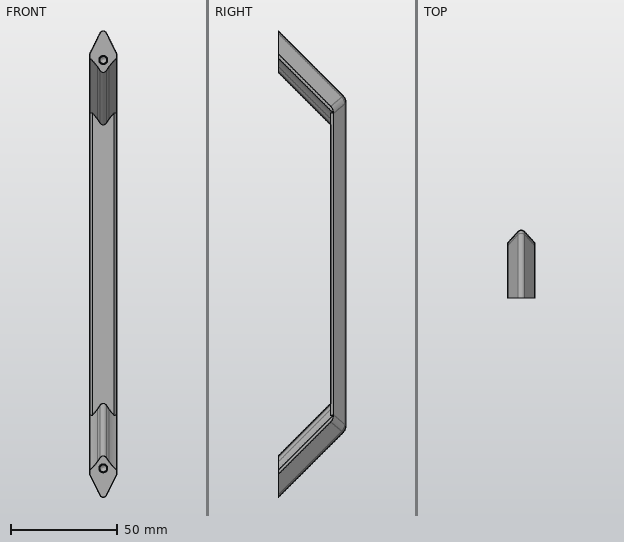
import cadquery as cq
import math

WIDTH = 12.81
HEIGHT = 31.97
LENGTH = 219.38
HALF_WIDTH = WIDTH / 2
HALF_LENGTH = LENGTH / 2

LEG_ANGLE = 45.0
LEG_ROOF_ANGLE = 55.0
LEG_SIDE = 1.4
KEEL_DEPTH = 4.75
KEEL_ANGLE = 45.0
HOLLOW_HALF_WIDTH = 2.8

BAR_ROOF_ANGLE = 47.5
BAR_THICKNESS = 7.3
BAR_BEVEL = 1.25

RIDGE_RADIUS = 2.0
BEND_RADIUS = 7.0

HOLE_SPACING = 192.0
HOLE_DIAMETER = 3.24
HOLE_DEPTH = 7.0
HOLE_MOUTH_DIAMETER = 4.2
DRILL_POINT_ANGLE = 118.0

TOLERANCE = 0.001


def sin(degrees):
    return math.sin(math.radians(degrees))


def cos(degrees):
    return math.cos(math.radians(degrees))


def tan(degrees):
    return math.tan(math.radians(degrees))


def sharp_excess(flank_angle):
    """How far a sharp ridge would stand above the same ridge once rounded."""
    return RIDGE_RADIUS * (1 / cos(flank_angle) - 1)


LEG_APEX = -sharp_excess(LEG_ROOF_ANGLE)
LEG_SHOULDER = LEG_APEX + HALF_WIDTH * tan(LEG_ROOF_ANGLE)
HOLLOW_START = LEG_SHOULDER + LEG_SIDE
KEEL = HOLLOW_START + KEEL_DEPTH

BAR_APEX = HEIGHT + sharp_excess(BAR_ROOF_ANGLE)
BAR_SHOULDER = BAR_APEX - HALF_WIDTH * tan(BAR_ROOF_ANGLE)
BAR_INNER_FACE = HEIGHT - BAR_THICKNESS


def leg_workplane():
    """Section plane of the upper leg: origin on the outer ridge, local Y pointing inward."""
    run = cq.Vector(0, sin(LEG_ANGLE), -cos(LEG_ANGLE))
    start = cq.Vector(0, 0, HALF_LENGTH) - run * LENGTH
    return cq.Workplane(cq.Plane(origin=start.toTuple(), xDir=(1, 0, 0), normal=run.toTuple()))


def roofed_outline(workplane, apex, shoulder, far_end):
    """Closed outline with a sharp roof from apex to shoulder and full-width sides to far_end."""
    return (
        workplane.moveTo(0, apex)
        .lineTo(HALF_WIDTH, shoulder)
        .lineTo(HALF_WIDTH, far_end)
        .lineTo(-HALF_WIDTH, far_end)
        .lineTo(-HALF_WIDTH, shoulder)
        .close()
    )


def on_centre_plane(edge):
    """True for an edge lying in the plane X = 0."""
    box = edge.BoundingBox()
    return max(abs(box.xmin), abs(box.xmax)) < TOLERANCE


def outer_envelope():
    """Space under the outer flanks of the upper leg and the bar, with bend and ridges rounded."""
    under_leg = roofed_outline(leg_workplane(), LEG_APEX, LEG_SHOULDER, LENGTH).extrude(2 * LENGTH)
    under_bar = roofed_outline(cq.Workplane("XY"), BAR_APEX, BAR_SHOULDER, 0).extrude(LENGTH)
    envelope = under_leg.intersect(under_bar)

    bend_point = cq.Vertex.makeVertex(0, BAR_APEX, HALF_LENGTH - BAR_APEX - LEG_APEX / sin(LEG_ANGLE))
    creases = [
        edge
        for edge in envelope.edges().vals()
        if edge.distance(bend_point) < TOLERANCE and not on_centre_plane(edge)
    ]
    envelope = envelope.newObject(creases).fillet(BEND_RADIUS)

    ridges = [edge for edge in envelope.edges().vals() if on_centre_plane(edge)]
    return envelope.newObject(ridges).fillet(RIDGE_RADIUS)


def leg_core():
    """Upper leg with its hollows and rounded keel, left oversize towards the outer flanks."""
    round_half_width = RIDGE_RADIUS * sin(KEEL_ANGLE)
    round_start = KEEL - RIDGE_RADIUS * (1 - cos(KEEL_ANGLE))
    flank_start = round_start - (HOLLOW_HALF_WIDTH - round_half_width) * tan(KEEL_ANGLE)
    half_leg = (
        leg_workplane()
        .moveTo(0, LEG_APEX)
        .lineTo(0, KEEL)
        .radiusArc((round_half_width, round_start), RIDGE_RADIUS)
        .lineTo(HOLLOW_HALF_WIDTH, flank_start)
        .tangentArcPoint((HALF_WIDTH, HOLLOW_START), relative=False)
        .lineTo(HALF_WIDTH, LEG_APEX)
        .close()
        .extrude(2 * LENGTH)
    )
    return half_leg.union(half_leg.mirror("YZ"))


def bar_core():
    """Upper half of the bar with bevelled inner edges, left oversize towards the outer flanks."""
    inner_half_width = HALF_WIDTH - BAR_BEVEL
    return (
        cq.Workplane("XY")
        .moveTo(-inner_half_width, BAR_INNER_FACE)
        .lineTo(inner_half_width, BAR_INNER_FACE)
        .lineTo(HALF_WIDTH, BAR_SHOULDER)
        .lineTo(HALF_WIDTH, BAR_APEX)
        .lineTo(-HALF_WIDTH, BAR_APEX)
        .lineTo(-HALF_WIDTH, BAR_SHOULDER)
        .close()
        .extrude(HALF_LENGTH)
    )


def mounting_hole():
    """Upper blind hole with a countersunk mouth and a drill-point bottom."""
    radius = HOLE_DIAMETER / 2
    mouth_radius = HOLE_MOUTH_DIAMETER / 2
    point_depth = radius / tan(DRILL_POINT_ANGLE / 2)
    return (
        cq.Workplane("XY")
        .polyline(
            [
                (0, 0),
                (mouth_radius, 0),
                (radius, mouth_radius - radius),
                (radius, HOLE_DEPTH),
                (0, HOLE_DEPTH + point_depth),
            ]
        )
        .close()
        .revolve(360, (0, 0, 0), (0, 1, 0))
        .translate((0, 0, HOLE_SPACING / 2))
    )


def upper_half():
    """Half of the handle above the plane Z = 0."""
    return leg_core().union(bar_core()).intersect(outer_envelope()).cut(mounting_hole())


half = upper_half()
result = half.union(half.mirror("XY")).clean()